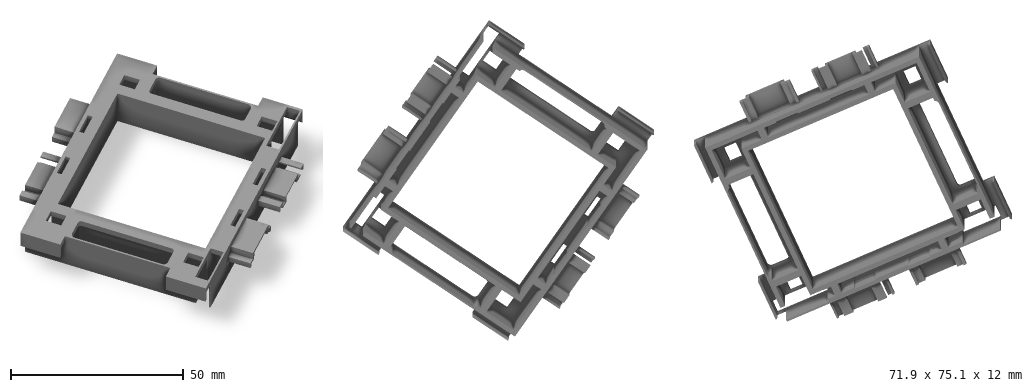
import cadquery as cq

overall_length_x = 71.9
frame_length_x = 58.1
body_length_y = 68.05
overall_length_y = 75.1
frame_height = 12.0
plate_thickness = 2.0
wall_thickness = 1.4
skin_thickness = 0.5
window_size = 46.25
rib_inner_offset = 16.0
rib_thickness = 2.0

flange_length_x = 12.55
lip_thickness = 0.6
lip_depth = 5.8
lip_taper_depth = 1.2

pocket_length = 30.0
pocket_inner_y = 26.8
pocket_outer_radius = 1.3
pocket_inner_radius = 1.0
square_hole_min_x = 19.1
square_hole_y = 28.55
square_hole_length_x = 4.9
square_hole_length_y = 4.0
narrow_slot_x = 27.2
narrow_slot_y = 8.6
narrow_slot_width = 1.5
narrow_slot_length = 6.8
long_slot_min_x = 24.5
back_slot_span_y = (20.5, 36.7)
front_slot_span_y = (-34.5, -22.5)

tab_center_y = 12.0
tab_bottom_z = -6.5
tab_wall = 0.8
slit_height = 0.5

socket_top_z = -2.0
socket_step_z = -4.5
socket_top_half = 6.0
socket_step_half = 7.95
socket_wall = 1.05
socket_draft = 0.15
socket_slit_half = 9.2

clip_top_z = -3.7
clip_sheet = 0.6
clip_bridge_half = 4.8
clip_foot_half = 6.8
clip_finger_half = 9.15
clip_finger_length = 2.0
clip_slit_half = 8.0

half_x = frame_length_x / 2
half_body_y = body_length_y / 2
half_y = overall_length_y / 2
tab_length = (overall_length_x - frame_length_x) / 2
square_hole_x = square_hole_min_x + square_hole_length_x / 2
pocket_outer_y = half_body_y - skin_thickness
long_slot_max_x = half_x - skin_thickness


def box_between(x_min, x_max, y_min, y_max, z_min, z_max):
    return cq.Workplane("XY").box(
        x_max - x_min, y_max - y_min, z_max - z_min, centered=False
    ).translate((x_min, y_min, z_min))


def through_cut(x_min, x_max, y_min, y_max):
    return box_between(x_min, x_max, y_min, y_max, -frame_height, 0)


def hollow_frame():
    """Plate, outer walls and window walls, with ribs crossing the ring-shaped cavity."""
    outer = cq.Workplane("XY").rect(frame_length_x, body_length_y).extrude(-frame_height)
    cavity_depth = frame_height - plate_thickness
    window_rim = window_size + 2 * wall_thickness
    cavity = (
        cq.Workplane("XY", origin=(0, 0, -frame_height))
        .rect(frame_length_x - 2 * wall_thickness, body_length_y - 2 * wall_thickness)
        .rect(window_rim, window_rim)
        .extrude(cavity_depth)
    )
    for side in (1, -1):
        rib_center = side * (rib_inner_offset + rib_thickness / 2)
        rib_x_side = cq.Workplane("XY").center(rib_center, 0).rect(rib_thickness, body_length_y)
        rib_y_side = cq.Workplane("XY").center(0, rib_center).rect(frame_length_x, rib_thickness)
        cavity = cavity.cut(rib_x_side.extrude(-frame_height))
        cavity = cavity.cut(rib_y_side.extrude(-frame_height))
    window = cq.Workplane("XY").rect(window_size, window_size).extrude(-frame_height)
    return outer.cut(cavity).cut(window)


def hooked_flange():
    """Flange at the +X, +Y corner: a plate ending in a lip tapered to a sharp edge."""
    inner_y = half_y - lip_thickness
    profile = [
        (half_body_y - wall_thickness, 0),
        (half_y, 0),
        (half_y, -lip_depth),
        (inner_y, -lip_depth + lip_taper_depth),
        (inner_y, -plate_thickness),
        (half_body_y - wall_thickness, -plate_thickness),
    ]
    return (
        cq.Workplane("YZ", origin=(half_x - flange_length_x, 0, 0))
        .polyline(profile)
        .close()
        .extrude(flange_length_x)
    )


def pocket():
    """Long pocket beside the +Y wall, thinning that wall to a skin."""
    block = through_cut(-pocket_length / 2, pocket_length / 2, pocket_inner_y, pocket_outer_y)
    block = block.edges("|Z and >Y").fillet(pocket_outer_radius)
    return block.edges("|Z and <Y").fillet(pocket_inner_radius)


def rectangular_holes(x, y, length_x, length_y):
    """Four through holes placed symmetrically about both axes."""
    return (
        cq.Workplane("XY")
        .rect(2 * x, 2 * y, forConstruction=True)
        .vertices()
        .rect(length_x, length_y)
        .extrude(-frame_height)
    )


def tab_prism(profile):
    """Extrude a (Y, Z) profile, given about the tab center, outward from the +X wall."""
    return cq.Workplane("YZ", origin=(half_x, 0, 0)).polyline(profile).close().extrude(tab_length)


def mirrored_outline(right_half):
    """Complete an outline that is symmetric about Y = 0."""
    return right_half + [(-y, z) for y, z in reversed(right_half)]


def socket_tab():
    """Stepped hat section with drafted upper sides, open underneath."""
    base_half = socket_top_half + socket_draft
    inner_step_half = socket_step_half - tab_wall
    outer = [
        (socket_top_half, socket_top_z),
        (base_half, socket_step_z),
        (socket_step_half, socket_step_z),
        (socket_step_half, tab_bottom_z),
    ]
    inner = [
        (inner_step_half, tab_bottom_z),
        (inner_step_half, socket_step_z - tab_wall),
        (base_half - socket_wall, socket_step_z - tab_wall),
        (socket_top_half - socket_wall, socket_top_z - tab_wall),
    ]
    return tab_prism(mirrored_outline(outer + inner))


def clip_tab():
    """Hat section with feet, flanked by two separate L-shaped fingers."""
    foot_top_z = tab_bottom_z + clip_sheet
    inner_half = clip_bridge_half - tab_wall
    bridge = [
        (clip_bridge_half, clip_top_z),
        (clip_bridge_half, foot_top_z),
        (clip_foot_half, foot_top_z),
        (clip_foot_half, tab_bottom_z),
        (inner_half, tab_bottom_z),
        (inner_half, clip_top_z - clip_sheet),
    ]
    tab = tab_prism(mirrored_outline(bridge))
    finger_inner = clip_finger_half - clip_sheet
    finger_tip = clip_finger_half - clip_finger_length
    finger = [
        (finger_tip, clip_top_z),
        (clip_finger_half, clip_top_z),
        (clip_finger_half, foot_top_z),
        (finger_inner, foot_top_z),
        (finger_inner, clip_top_z - clip_sheet),
        (finger_tip, clip_top_z - clip_sheet),
    ]
    for side in (1, -1):
        tab = tab.add(tab_prism([(side * y, z) for y, z in finger]))
    return tab


def wall_slit(center_y, half_length):
    """Horizontal slit through the +X wall just below a tab."""
    return box_between(
        half_x - wall_thickness,
        half_x,
        center_y - half_length,
        center_y + half_length,
        tab_bottom_z - slit_height,
        tab_bottom_z,
    )


def both_ends(shape):
    """The shape together with its copy turned half a turn about Z."""
    turned = shape.rotate((0, 0, 0), (0, 0, 1), 180)
    return shape.vals() + turned.vals()


frame = hollow_frame()

corner = hooked_flange()
for flange in both_ends(corner) + both_ends(corner.mirror("YZ")):
    frame = frame.union(cq.Workplane(flange))

for opening in both_ends(pocket()):
    frame = frame.cut(cq.Workplane(opening))
frame = frame.cut(
    rectangular_holes(square_hole_x, square_hole_y, square_hole_length_x, square_hole_length_y)
)
frame = frame.cut(
    rectangular_holes(narrow_slot_x, narrow_slot_y, narrow_slot_width, narrow_slot_length)
)
for y_min, y_max in (back_slot_span_y, front_slot_span_y):
    frame = frame.cut(through_cut(long_slot_min_x, long_slot_max_x, y_min, y_max))

clip = clip_tab().translate((0, tab_center_y, 0))
socket = socket_tab().translate((0, -tab_center_y, 0))
for tab in both_ends(clip) + both_ends(socket):
    frame = frame.union(cq.Workplane(tab))

clip_slit = wall_slit(tab_center_y, clip_slit_half)
socket_slit = wall_slit(-tab_center_y, socket_slit_half)
for slit in both_ends(clip_slit) + both_ends(socket_slit):
    frame = frame.cut(cq.Workplane(slit))

result = frame